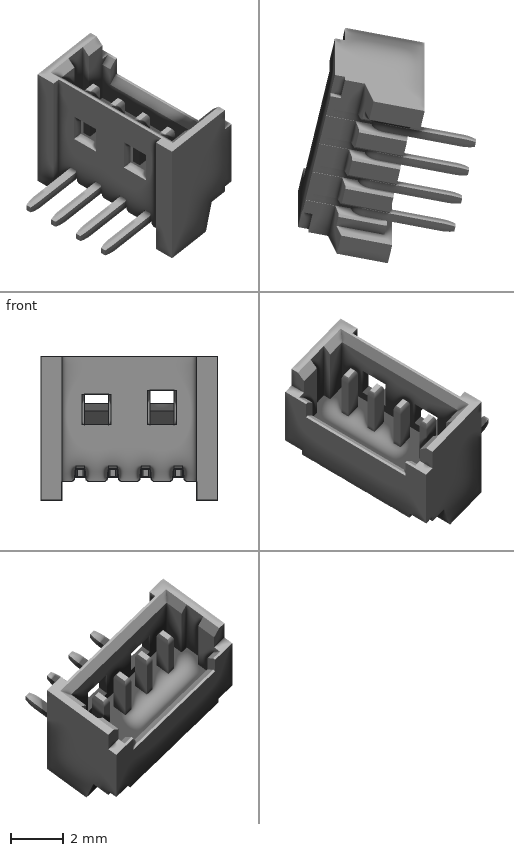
import cadquery as cq


width = 6.75
depth = 3.5
height = 5.5

lead_in = 0.3
rim_lip = 0.1
wall = rim_lip + lead_in
side_wall = 0.305
cheek_width = 0.8
front_recess = 0.305

rear_top = 4.5
rear_bottom = 1.295
foot_depth = 1.99
slope_top_depth = 2.335
belly_bottom = 0.715
rear_step_top = 1.55

floor_height = 2.5
cavity_half = width / 2 - side_wall - lead_in
cavity_front = front_recess + wall
cavity_rear = depth - wall
key_slot_front = 1.46
key_slot_rear = 2.3
rear_gap_width = 4.75
rear_gap_bottom = 3.705

window_width = 1.11
window_bottom = 2.89
left_window_top = 4.04
right_window_top = 4.2

pin_count = 4
pitch = 1.25
pin_width = 0.34
pin_tip_width = 0.215
tail_height = 0.35
tail_tip_height = 0.255
tail_tip_length = 0.51
tail_bottom = 0.865
tail_reach = 2.295
post_front = 1.12
post_depth = 0.6
post_tip_depth = 0.42
post_tip_length = 0.25
post_top = 4.725
inner_bend_radius = 0.15
outer_bend_radius = inner_bend_radius + tail_height

notch_top = 1.31
notch_top_half = 0.16
notch_side_half = 0.215
notch_mouth_half = 0.305
notch_chamfer_height = 0.08

pin_places = [(i - (pin_count - 1) / 2) * pitch for i in range(pin_count)]


def block(x0, x1, y0, y1, z0, z1):
    """Box given by its limits along each axis."""
    return cq.Workplane("XY").box(x1 - x0, y1 - y0, z1 - z0, centered=False).translate((x0, y0, z0))


def prism_along_x(points, x0, x1):
    """Closed (Y, Z) outline extruded from x0 to x1."""
    return cq.Workplane("YZ").workplane(offset=x0).polyline(points).close().extrude(x1 - x0)


def make_shell():
    """Outer housing with its cheeks, front recess and open underside."""
    inner_half = width / 2 - cheek_width
    side_outline = [
        (0, 0),
        (foot_depth, 0),
        (slope_top_depth, rear_bottom),
        (depth, rear_bottom),
        (depth, rear_top),
        (cavity_rear, rear_top),
        (cavity_rear, height),
        (0, height),
    ]
    shell = prism_along_x(side_outline, -width / 2, width / 2)
    shell = shell.cut(block(-inner_half, inner_half, 0, front_recess, 0, height))
    shell = shell.cut(block(-inner_half, inner_half, 0, depth, 0, belly_bottom))
    rear_step = block(inner_half, width / 2, cavity_rear, depth, rear_bottom, rear_step_top)
    shell = shell.cut(rear_step).cut(rear_step.mirror("YZ"))
    return shell


def make_cavity():
    """Plug cavity with key slots and a lead-in along the front and side rims."""
    cavity = block(-cavity_half, cavity_half, cavity_front, cavity_rear, floor_height, height)
    slot_half = cavity_half + lead_in
    cavity = cavity.union(
        block(-slot_half, slot_half, key_slot_front, key_slot_rear, floor_height, height)
    )
    funnel_length = 2 * (cavity_rear - cavity_front)
    funnel = (
        cq.Workplane("XY", origin=(0, cavity_rear, height - lead_in))
        .rect(2 * cavity_half, funnel_length)
        .workplane(offset=lead_in)
        .rect(2 * slot_half, funnel_length + 2 * lead_in)
        .loft(ruled=True)
    )
    trim = block(-width, width, 0, cavity_rear, 0, height)
    return cavity.union(funnel.intersect(trim))


def make_rear_lead_in(half_width, top):
    """Wedge that slopes the inner edge of the rear wall."""
    wedge = [(cavity_rear, top - lead_in), (cavity_rear + lead_in, top), (cavity_rear, top)]
    return prism_along_x(wedge, -half_width, half_width)


def make_windows():
    """Two openings in the front wall, the right one slightly taller."""

    def window(x, top):
        return block(x - window_width / 2, x + window_width / 2, 0, cavity_front, window_bottom, top)

    return window(-pitch, left_window_top).union(window(pitch, right_window_top))


def make_notch(x):
    """Flared notch through the underside around one pin."""
    shoulder = belly_bottom + notch_chamfer_height
    half_outline = [
        (notch_mouth_half, belly_bottom),
        (notch_side_half, shoulder),
        (notch_top_half, notch_top),
    ]
    outline = half_outline + [(-px, pz) for px, pz in reversed(half_outline)]
    notch = cq.Workplane("XZ").polyline(outline).close().extrude(-depth)
    return notch.translate((x, 0, 0))


def tip_profile(plane, base, tip, length, tip_length):
    """Prism, thicker than any pin, over a bar outline whose upper end narrows in arcs tangent to its sides."""
    half = (
        cq.Workplane(plane)
        .lineTo(base / 2, 0)
        .lineTo(base / 2, length - tip_length)
        .tangentArcPoint((tip / 2, length), relative=False)
        .lineTo(0, length)
        .close()
        .extrude(pin_width + post_depth, both=True)
    )
    mirror_plane = "YZ" if plane == "XZ" else "XZ"
    return half.union(half.mirror(mirror_plane))


def tapered_bar(bar_depth, tip_depth, length, tip_length):
    """Bar standing on Z = 0 with a rounded taper on all four sides of its upper end."""
    across_x = tip_profile("XZ", pin_width, pin_tip_width, length, tip_length)
    across_y = tip_profile("YZ", bar_depth, tip_depth, length, tip_length)
    return across_x.intersect(across_y)


def make_pin(x):
    """L-shaped pin: an upright contact post and a tail that leaves through the front."""
    post_middle = post_front + post_depth / 2
    post = tapered_bar(post_depth, post_tip_depth, post_top - tail_bottom, post_tip_length)
    post = post.translate((0, post_middle, tail_bottom))
    tail = tapered_bar(tail_height, tail_tip_height, tail_reach + post_middle, tail_tip_length)
    tail = tail.rotate((0, 0, 0), (1, 0, 0), 90)
    tail = tail.translate((0, post_middle, tail_bottom + tail_height / 2))
    tail_top = tail_bottom + tail_height
    inner_bend = (
        cq.Workplane("YZ")
        .moveTo(post_front, tail_top)
        .lineTo(post_front, tail_top + inner_bend_radius)
        .radiusArc((post_front - inner_bend_radius, tail_top), inner_bend_radius)
        .close()
        .extrude(pin_width / 2, both=True)
    )
    pin = post.union(tail).union(inner_bend).clean()
    outer_corner = cq.selectors.NearestToPointSelector((0, post_front + post_depth, tail_bottom))
    return pin.edges(outer_corner).fillet(outer_bend_radius).translate((x, 0, 0))


def make_rear_opening():
    """Lead-in along the rear wall and the lower gap between its two end posts."""
    half_gap = rear_gap_width / 2
    gap = block(-half_gap, half_gap, cavity_rear, depth, rear_gap_bottom, rear_top)
    opening = gap.union(make_rear_lead_in(cavity_half, rear_top))
    return opening.union(make_rear_lead_in(half_gap, rear_gap_bottom))


result = make_shell().cut(make_cavity()).cut(make_rear_opening()).cut(make_windows())
for pin_x in pin_places:
    result = result.cut(make_notch(pin_x)).union(make_pin(pin_x))